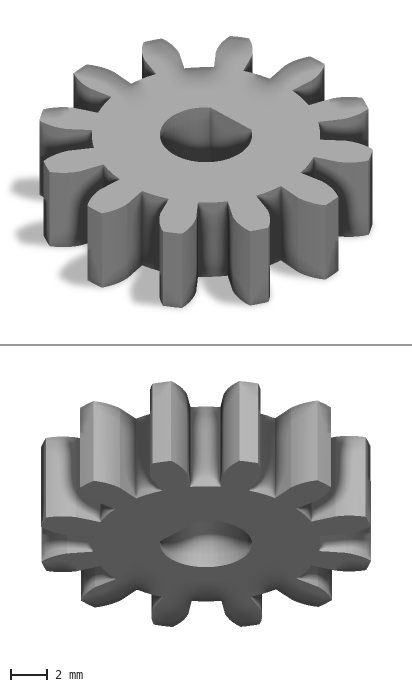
import cadquery as cq
import math

overall_width = 18.18
thickness = 5.0
tooth_count = 12
root_radius = 6.18
root_half_angle = 7.5
flank_start_radius = 7.6
flank_mid_radius = 8.22
flank_mid_half_angle = 6.4
tip_half_angle = 3.3
bore_radius = 2.5
flat_distance = 2.0
flat_direction = 81.5

tooth_pitch = 360 / tooth_count
first_tooth_angle = -root_half_angle
tip_radius = overall_width / 2 / math.cos(math.radians(root_half_angle - tip_half_angle))


def polar(radius, angle):
    """Point at a radius and an angle in degrees."""
    return (radius * math.cos(math.radians(angle)), radius * math.sin(math.radians(angle)))


def gear_blank():
    """Toothed disc with radial lower flanks and curved upper flanks."""
    outline = cq.Workplane("XY").moveTo(*polar(root_radius, first_tooth_angle - root_half_angle))
    for index in range(tooth_count):
        axis = first_tooth_angle + index * tooth_pitch
        outline = (
            outline.lineTo(*polar(flank_start_radius, axis - root_half_angle))
            .threePointArc(
                polar(flank_mid_radius, axis - flank_mid_half_angle),
                polar(tip_radius, axis - tip_half_angle),
            )
            .threePointArc(polar(tip_radius, axis), polar(tip_radius, axis + tip_half_angle))
            .threePointArc(
                polar(flank_mid_radius, axis + flank_mid_half_angle),
                polar(flank_start_radius, axis + root_half_angle),
            )
            .lineTo(*polar(root_radius, axis + root_half_angle))
            .threePointArc(
                polar(root_radius, axis + tooth_pitch / 2),
                polar(root_radius, axis + tooth_pitch - root_half_angle),
            )
        )
    return outline.close().extrude(thickness)


def d_bore():
    """Through bore with one flat."""
    flat_half_angle = math.degrees(math.acos(flat_distance / bore_radius))
    return (
        cq.Workplane("XY")
        .moveTo(*polar(bore_radius, flat_direction + flat_half_angle))
        .threePointArc(
            polar(bore_radius, flat_direction + 180),
            polar(bore_radius, flat_direction - flat_half_angle),
        )
        .close()
        .extrude(thickness)
    )


result = gear_blank().cut(d_bore())